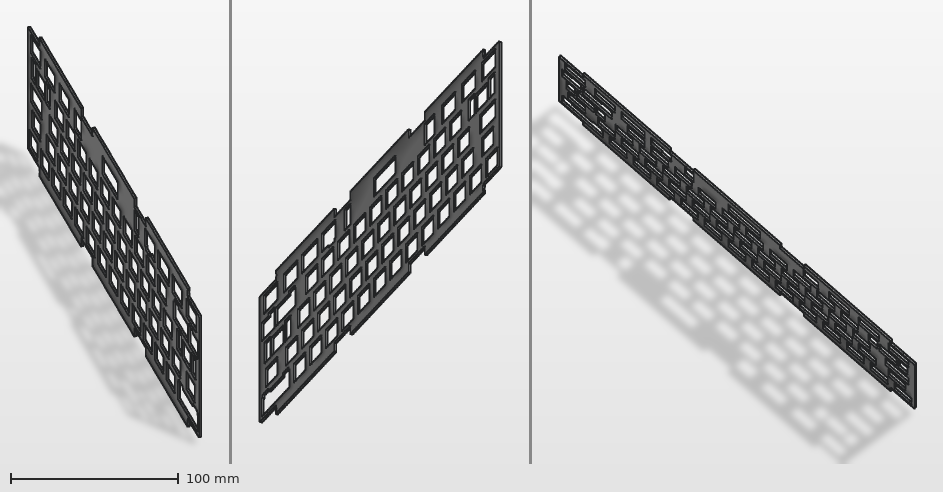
import cadquery as cq

plate_width = 285.8
plate_thickness = 1.5
overall_height = 108.3
unit_count_x = 15
row_count = 5
key_unit = plate_width / unit_count_x
plate_height = row_count * key_unit
plate_corner_radius = 1.0

tab_outer_x = 123.7
gap_center_x = 44.3
gap_width = key_unit
relief_radius = 3.1
relief_offset = 2.3

switch_gap = 5.1
switch_size = key_unit - switch_gap
stabilizer_width = 7.1
stabilizer_overhang = 2.0
stabilizer_height = switch_size + stabilizer_overhang
opening_corner_radius = 0.5
short_stabilizer_reach = 12.0
space_stabilizer_reach = 50.0
long_space_stabilizer_reach = 3 * key_unit

space_row = [0.625, 0.75, 1.875, 2, 3.125, 3.25, 6.875, 7.5, 10.625, 10.75,
             11.75, 12, 13, 13.125, 14.25, 14.375]
shift_row = [1.125] + [2.75 + i for i in range(10)] + [13.125, 13.625, 14.5]
home_row = [0.625, 0.875] + [2.25 + i for i in range(11)] + [13.875]
tab_key_row = [0.75] + [2 + i for i in range(12)] + [14.25]
number_row = [0.5 + i for i in range(unit_count_x)] + [14]
switch_rows = [space_row, shift_row, home_row, tab_key_row, number_row]

stabilized_keys = [
    (0, 6.875, space_stabilizer_reach, -1),
    (0, 7.5, long_space_stabilizer_reach, -1),
    (1, 1.125, short_stabilizer_reach, 1),
    (1, 13.625, short_stabilizer_reach, 1),
    (2, 13.875, short_stabilizer_reach, 1),
    (4, 14, short_stabilizer_reach, 1),
]


def key_x(units):
    """X of a place given in key units from the left edge."""
    return units * key_unit - plate_width / 2


def row_z(row):
    """Z of the middle of a row, counted from the top."""
    return ((row_count - 1) / 2 - row) * key_unit


def block(width, height, x, z):
    """Rectangular block through the plate thickness, centered at (x, z)."""
    return cq.Workplane("XY").box(width, plate_thickness, height).translate((x, 0, z))


def opening(width, height, x, z):
    """Cutter with rounded corners."""
    return block(width, height, x, z).edges("|Y").fillet(opening_corner_radius)


def make_blank():
    """Plate with six tabs and a round relief at the foot of each outer tab."""
    blank = block(plate_width, plate_height, 0, 0).edges("|Y").fillet(plate_corner_radius)
    blank = blank.union(block(2 * tab_outer_x, overall_height, 0, 0))
    tab_depth = (overall_height - plate_height) / 2
    gap_z = (plate_height + tab_depth) / 2
    relief_x = tab_outer_x + relief_offset
    relief_z = plate_height / 2 + relief_radius
    for side_z in (-1, 1):
        for side_x in (-1, 1):
            gap = block(gap_width, tab_depth, side_x * gap_center_x, side_z * gap_z)
            relief = (
                cq.Workplane("XZ")
                .center(side_x * relief_x, side_z * relief_z)
                .circle(relief_radius)
                .extrude(plate_thickness / 2, both=True)
            )
            blank = blank.cut(gap).cut(relief)
    return blank


def switch_openings():
    """One square opening per switch; close centers overlap to give several layouts a place."""
    cutters = []
    for row, centers in enumerate(switch_rows):
        for center in centers:
            cutters.append(opening(switch_size, switch_size, key_x(center), row_z(row)))
    return cutters


def stabilizer_openings():
    """Pairs of slots, flush with the switch opening at one end and overhanging at the other."""
    cutters = []
    for row, center, reach, direction in stabilized_keys:
        z = row_z(row) + direction * stabilizer_overhang / 2
        for side in (-1, 1):
            x = key_x(center) + side * reach
            cutters.append(opening(stabilizer_width, stabilizer_height, x, z))
    return cutters


cutters = switch_openings() + stabilizer_openings()
plate = make_blank().val().cut(*[cutter.val() for cutter in cutters])
result = cq.Workplane("XY").newObject([plate])